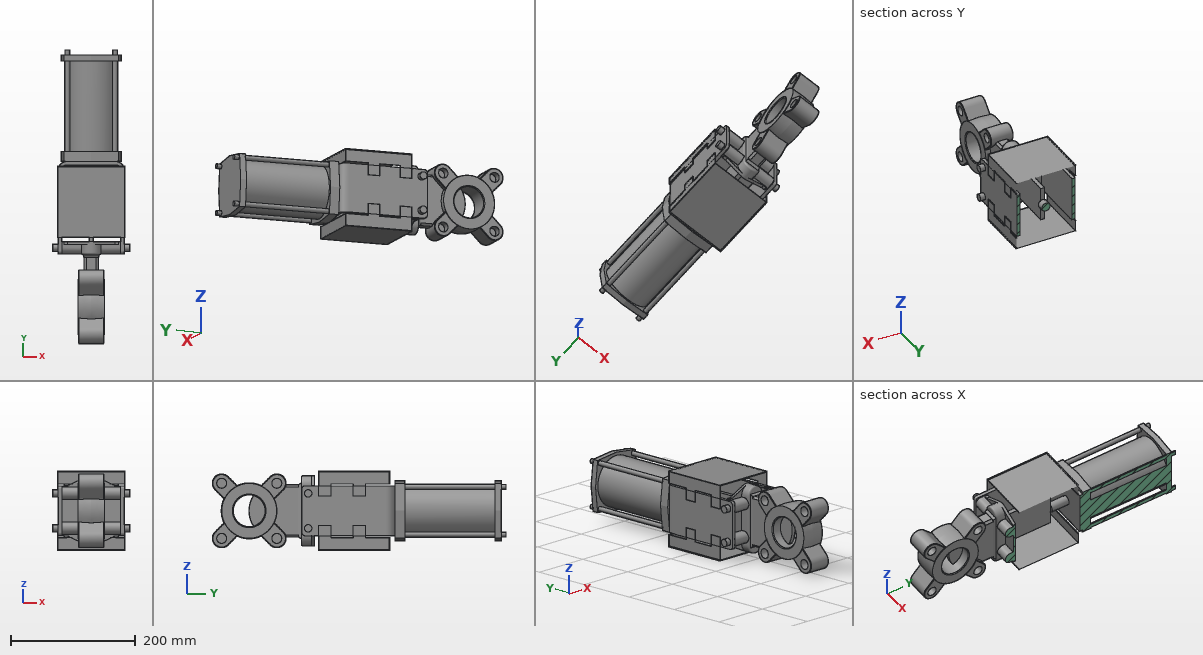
import cadquery as cq
import math


FACE_HALF = 21.5
EAR_HALF = 20.5
RING_FACE_RADIUS = 44.0
RING_PARTING_RADIUS = 45.0
BORE_RADIUS = 25.5
BORE_CHAMFER = 1.5
BOLT_CIRCLE = 125.0
EAR_OFFSET = BOLT_CIRCLE / 2 * math.cos(math.radians(45))
OVERALL_Y = 471.17
EAR_RADIUS = 15.0
EAR_EDGE_CHAMFER = 1.0
EAR_ROOT_FILLET = 2.0
EAR_HOLE_DIAMETER = 16.0
EAR_HOLE_DEPTH = 15.0
Y_MIN = -(EAR_OFFSET + EAR_RADIUS)

NECK_START_Y = 30.0
NECK_HALF_X = 12.0
NECK_FLAT_HALF_X = 8.0
NECK_HALF_Z = 42.0
NECK_SIDE_HALF_Z = 38.5
COLLAR_FRONT_Y = 79.0
COLLAR_HALF_X = 12.0
COLLAR_HALF_Z = 45.0

HUB_RADIUS = 16.0
HUB_FRONT_Y = 83.5
HUB_HALF_Z = 56.5
HUB_EDGE_FILLET = 3.0
WALL_FRONT_Y = 99.7
WALL_BACK_Y = 104.7
RIB_SLOPE = 25.0
RIB_LOW_Z = 40.5
RIB_END_X = 44.0
BOSS_RADIUS = 10.0
BOLT_Y = 94.5
BOLT_Z = 28.0
BOLT_DIAMETER = 12.0
BOLT_HALF_LENGTH = 62.0

FRAME_HALF_X = 53.0
FRAME_THICKNESS = 6.0
FRAME_HALF_Z = 40.0
FRAME_FRONT_Y = BOLT_Y - BOSS_RADIUS
FRAME_BACK_Y = 233.4
FRAME_BEND_RADIUS = 14.0
FRAME_CORNER_RADIUS = 5.0
FRAME_INNER_X = FRAME_HALF_X - FRAME_THICKNESS

GATE_THICKNESS = 7.0
GATE_HALF_Z = 30.0
GATE_TIP_Y = -0.5
GATE_TIP_RADIUS = 45.0
GATE_BACK_Y = 195.0
ROD_RADIUS = 8.0

TUBE_RADIUS = 43.0
HEAD_CORNER = 43.5
HEAD_CROWN = 48.3
FRONT_HEAD_LENGTH = 16.0
REAR_HEAD_FRONT_Y = 394.0
REAR_HEAD_LENGTH = 10.2
TIE_ROD_OFFSET = 38.25
TIE_ROD_DIAMETER = 8.0
TIE_ROD_END_Y = Y_MIN + OVERALL_Y

GUARD_SHEET = 1.5
GUARD_HALF_X = FRAME_HALF_X + GUARD_SHEET
GUARD_TOP_Z = 63.5
GUARD_SKIRT_Z = 43.0
GUARD_TAB_Z = 23.5
GUARD_FRONT_Y = 111.3
GUARD_BACK_Y = 225.8
FRONT_TAB_END_Y = 131.3
REAR_TAB_START_Y = 166.5
REAR_TAB_END_Y = 186.8


def block(x_range, y_range, z_range):
    """Box given by its lower and upper limit along each axis."""
    sizes = [high - low for low, high in (x_range, y_range, z_range)]
    corner = (x_range[0], y_range[0], z_range[0])
    return cq.Workplane("XY").box(*sizes, centered=False).translate(corner)


def rod_along_y(radius, y_start, y_end, x=0, z=0):
    """Round bar along Y."""
    bar = cq.Workplane("XZ").circle(radius).extrude(-(y_end - y_start))
    return bar.translate((x, y_start, z))


def bar_along_x(radius, half_length, y=0, z=0):
    """Round bar along X, centred on the YZ plane."""
    return cq.Workplane("YZ").center(y, z).circle(radius).extrude(half_length, both=True)


def ring():
    """Drafted ring around the bore."""
    profile = [
        (-FACE_HALF, 0),
        (-FACE_HALF, RING_FACE_RADIUS),
        (0, RING_PARTING_RADIUS),
        (FACE_HALF, RING_FACE_RADIUS),
        (FACE_HALF, 0),
    ]
    return cq.Workplane("XY").polyline(profile).close().revolve(360, (0, 0, 0), (1, 0, 0))


def ears():
    """Two crossed round-ended bars that make the four bolt ears, blended into the ring."""
    bar_length = BOLT_CIRCLE + 2 * EAR_RADIUS
    cross = cq.Workplane("YZ").circle(RING_FACE_RADIUS).extrude(EAR_HALF, both=True)
    for angle in (45, 135):
        bar = cq.Workplane("YZ").slot2D(bar_length, 2 * EAR_RADIUS, angle).extrude(EAR_HALF, both=True)
        cross = cross.union(bar)
    root_reach = RING_FACE_RADIUS + EAR_EDGE_CHAMFER
    roots = cross.edges("|X").filter(lambda edge: math.hypot(edge.Center().y, edge.Center().z) < root_reach)
    return roots.fillet(EAR_ROOT_FILLET).faces("<X or >X").chamfer(EAR_EDGE_CHAMFER)


def ear_holes():
    """Blind bolt holes from both faces of every ear."""
    centres = [(y, z) for y in (-EAR_OFFSET, EAR_OFFSET) for z in (-EAR_OFFSET, EAR_OFFSET)]
    drills = (
        cq.Workplane("YZ", origin=(EAR_HALF - EAR_HOLE_DEPTH, 0, 0))
        .pushPoints(centres)
        .circle(EAR_HOLE_DIAMETER / 2)
        .extrude(EAR_HOLE_DEPTH)
    )
    return drills.union(drills.mirror("YZ"))


def neck():
    """Bevelled block from the ring to the bonnet, widened by a collar at the bonnet."""
    section = [
        (NECK_HALF_X, NECK_SIDE_HALF_Z),
        (NECK_FLAT_HALF_X, NECK_HALF_Z),
        (-NECK_FLAT_HALF_X, NECK_HALF_Z),
        (-NECK_HALF_X, NECK_SIDE_HALF_Z),
        (-NECK_HALF_X, -NECK_SIDE_HALF_Z),
        (-NECK_FLAT_HALF_X, -NECK_HALF_Z),
        (NECK_FLAT_HALF_X, -NECK_HALF_Z),
        (NECK_HALF_X, -NECK_SIDE_HALF_Z),
    ]
    body = (
        cq.Workplane("XZ", origin=(0, NECK_START_Y, 0))
        .polyline(section)
        .close()
        .extrude(NECK_START_Y - HUB_FRONT_Y)
    )
    collar = (
        cq.Workplane("XZ", origin=(0, COLLAR_FRONT_Y, 0))
        .rect(2 * COLLAR_HALF_X, 2 * NECK_HALF_Z)
        .workplane(offset=COLLAR_FRONT_Y - HUB_FRONT_Y)
        .rect(2 * HUB_RADIUS - 2 * HUB_EDGE_FILLET, 2 * COLLAR_HALF_Z)
        .loft(ruled=True)
    )
    return body.union(collar)


def hub():
    """Gland hub with round ends above and below, eased around its front face."""
    block_with_round_ends = (
        cq.Workplane("XZ", origin=(0, HUB_FRONT_Y, 0))
        .slot2D(2 * HUB_HALF_Z, 2 * HUB_RADIUS, 90)
        .extrude(HUB_FRONT_Y - WALL_BACK_Y)
    )
    return block_with_round_ends.faces("<Y").edges().fillet(HUB_EDGE_FILLET)


def bonnet_wall():
    """Wall between the frame sides, with ribs that slope down tangent to the hub."""
    slope = math.radians(RIB_SLOPE)
    tangent_x = HUB_RADIUS * math.sin(slope)
    tangent_z = HUB_HALF_Z - HUB_RADIUS + HUB_RADIUS * math.cos(slope)
    foot_x = tangent_x + (tangent_z - RIB_LOW_Z) / math.tan(slope)
    upper_right = [
        (0, 0),
        (0, tangent_z),
        (tangent_x, tangent_z),
        (foot_x, RIB_LOW_Z),
        (RIB_END_X, RIB_LOW_Z),
        (RIB_END_X, 0),
    ]
    ribs = (
        cq.Workplane("XZ", origin=(0, WALL_FRONT_Y, 0))
        .polyline(upper_right)
        .close()
        .extrude(WALL_FRONT_Y - WALL_BACK_Y)
    )
    ribs = ribs.union(ribs.mirror("YZ"))
    ribs = ribs.union(ribs.mirror("XY"))
    wall_half_z = BOLT_Z + BOSS_RADIUS
    wall = block(
        (-FRAME_INNER_X, FRAME_INNER_X),
        (WALL_FRONT_Y, WALL_BACK_Y),
        (-wall_half_z, wall_half_z),
    )
    return wall.union(ribs)


def bolt_boss(z):
    """Round-fronted boss across the bonnet with its bolt."""
    round_front = bar_along_x(BOSS_RADIUS, FRAME_INNER_X, BOLT_Y, z)
    root = block(
        (-FRAME_INNER_X, FRAME_INNER_X),
        (BOLT_Y, WALL_BACK_Y),
        (z - BOSS_RADIUS, z + BOSS_RADIUS),
    )
    bolt = bar_along_x(BOLT_DIAMETER / 2, BOLT_HALF_LENGTH, BOLT_Y, z)
    return round_front.union(root).union(bolt)


def frame():
    """U-shaped sheet frame, open toward the valve."""
    outer = block(
        (-FRAME_HALF_X, FRAME_HALF_X),
        (FRAME_FRONT_Y, FRAME_BACK_Y),
        (-FRAME_HALF_Z, FRAME_HALF_Z),
    )
    outer = outer.edges("|Z and >Y").fillet(FRAME_BEND_RADIUS)
    inner = block(
        (-FRAME_INNER_X, FRAME_INNER_X),
        (FRAME_FRONT_Y, FRAME_BACK_Y - FRAME_THICKNESS),
        (-FRAME_HALF_Z, FRAME_HALF_Z),
    )
    inner = inner.edges("|Z and >Y").fillet(FRAME_BEND_RADIUS - FRAME_THICKNESS)
    return outer.cut(inner).edges("|X and <Y").fillet(FRAME_CORNER_RADIUS)


def gate():
    """Half-open gate plate with a rounded tip, and the rod that moves it."""
    sagitta = GATE_TIP_RADIUS - math.sqrt(GATE_TIP_RADIUS**2 - GATE_HALF_Z**2)
    shoulder_y = GATE_TIP_Y + sagitta
    plate = (
        cq.Workplane("YZ")
        .moveTo(GATE_BACK_Y, GATE_HALF_Z)
        .lineTo(shoulder_y, GATE_HALF_Z)
        .threePointArc((GATE_TIP_Y, 0), (shoulder_y, -GATE_HALF_Z))
        .lineTo(GATE_BACK_Y, -GATE_HALF_Z)
        .close()
        .extrude(GATE_THICKNESS / 2, both=True)
    )
    return plate.union(rod_along_y(ROD_RADIUS, GATE_BACK_Y, FRAME_BACK_Y))


def cylinder_head(y_start, length):
    """Square head whose sides rise to a slight crown in the middle."""
    outline = [
        (HEAD_CORNER, HEAD_CORNER),
        (0, HEAD_CROWN),
        (-HEAD_CORNER, HEAD_CORNER),
        (-HEAD_CROWN, 0),
        (-HEAD_CORNER, -HEAD_CORNER),
        (0, -HEAD_CROWN),
        (HEAD_CORNER, -HEAD_CORNER),
        (HEAD_CROWN, 0),
    ]
    head = cq.Workplane("XZ").polyline(outline).close().extrude(-length)
    return head.translate((0, y_start, 0))


def cylinder():
    """Pneumatic cylinder: two heads, the tube and four tie rods."""
    unit = cylinder_head(FRAME_BACK_Y, FRONT_HEAD_LENGTH)
    unit = unit.union(cylinder_head(REAR_HEAD_FRONT_Y, REAR_HEAD_LENGTH))
    unit = unit.union(rod_along_y(TUBE_RADIUS, FRAME_BACK_Y, REAR_HEAD_FRONT_Y))
    for x in (-TIE_ROD_OFFSET, TIE_ROD_OFFSET):
        for z in (-TIE_ROD_OFFSET, TIE_ROD_OFFSET):
            tie_rod = rod_along_y(TIE_ROD_DIAMETER / 2, FRAME_BACK_Y, TIE_ROD_END_Y, x, z)
            unit = unit.union(tie_rod)
    return unit


def valve():
    """Complete valve with its bonnet, frame, gate and cylinder."""
    bore = bar_along_x(BORE_RADIUS, FACE_HALF)
    body = ring().union(ears()).union(neck()).cut(bore).cut(ear_holes())
    bore_rims = cq.selectors.RadiusNthSelector(0)
    for face in ("<X", ">X"):
        body = body.faces(face).edges("%CIRCLE").edges(bore_rims).chamfer(BORE_CHAMFER)
    body = body.union(hub()).union(bonnet_wall())
    for z in (-BOLT_Z, BOLT_Z):
        body = body.union(bolt_boss(z))
    return body.union(frame()).union(gate()).union(cylinder())


def guard(side):
    """Sheet guard open at the front, above (side 1) or below (side -1) the frame."""
    shell = block(
        (-GUARD_HALF_X, GUARD_HALF_X),
        (GUARD_FRONT_Y, GUARD_BACK_Y),
        (GUARD_SKIRT_Z, GUARD_TOP_Z),
    )
    space = block(
        (-FRAME_HALF_X, FRAME_HALF_X),
        (GUARD_FRONT_Y, GUARD_BACK_Y - GUARD_SHEET),
        (GUARD_SKIRT_Z, GUARD_TOP_Z - GUARD_SHEET),
    )
    cover = shell.cut(space)
    tab_spans = [(GUARD_FRONT_Y, FRONT_TAB_END_Y), (REAR_TAB_START_Y, REAR_TAB_END_Y)]
    for span in tab_spans:
        tab = block((FRAME_HALF_X, GUARD_HALF_X), span, (GUARD_TAB_Z, GUARD_SKIRT_Z))
        cover = cover.union(tab).union(tab.mirror("YZ"))
    return cover if side > 0 else cover.mirror("XY")


knife_gate_valve = valve()
guards = [guard(side) for side in (1, -1)]

result = cq.Compound.makeCompound([knife_gate_valve.val(), *[cover.val() for cover in guards]])